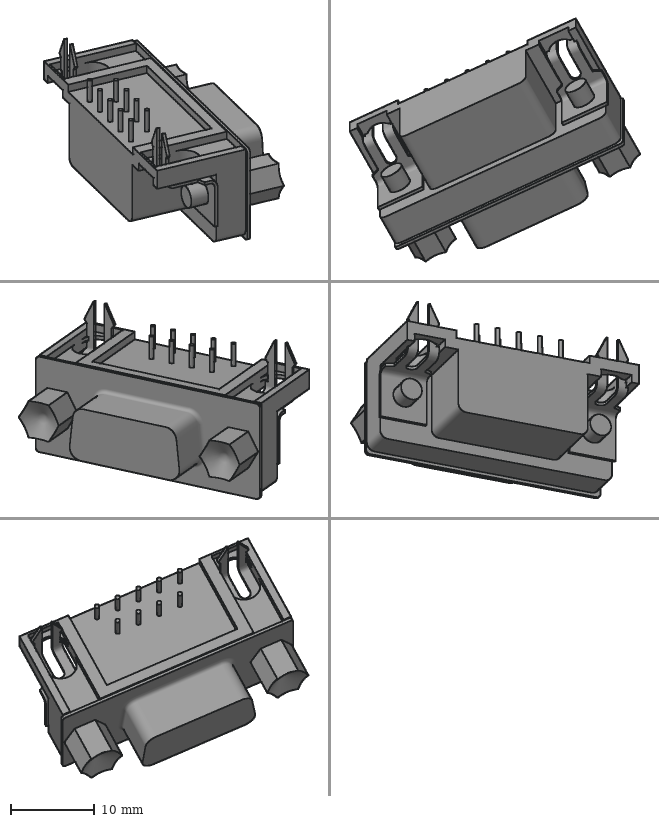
import cadquery as cq
import math


total_height = 16.11

flange_width = 30.8
flange_height = 12.44
flange_thickness = 0.4
flange_corner_radius = 0.5
axis_z = -flange_height / 2

nose_length = 5.75
nose_height = 6.8
nose_bottom_width = 15.4
nose_draft = 6
nose_corner_radius = 1.5
nose_root_radius = 0.5

screw_spacing = 24.85
screw_sides = (-1, 1)
screw_diameter = 2.75
screw_reach = 7.1
hex_across_flats = 4.76
hex_across_corners = hex_across_flats / math.cos(math.pi / 6)
hex_length = 4.65
countersink_half_angle = 60

housing_width = 30.5
housing_center_x = -0.1
flange_gap = 0.1
housing_front_y = -flange_thickness - flange_gap
housing_rear_y = -12.35
front_block_rear_y = -4.4
front_block_height = 12.05
rear_block_width = 17.0
rear_block_height = 10.65
roof_thickness = 2.5
block_corner_radius = 1.0

recess_width = 17.45
recess_depth = 1.0
recess_front_y = -1.8

pocket_width = 4.0
pocket_spacing = 24.5
pocket_depth = 1.0
pocket_rear_y = -12.05
pocket_hole_front_y = -5.3
pocket_hole_rear_y = -11.3
rear_notch_top_z = -1.5

pin_diameter = 0.55
pin_top_z = 1.9
pin_pitch = 2.77
pin_rows = ((5, -11.05), (4, -8.2))

sheet = 0.4
bracket_width = 6.05
bracket_bottom_z = -9.4
bracket_shelf_z = -2.95
bracket_rear_y = -10.72
bend_outer_radius = 1.0
bend_inner_radius = bend_outer_radius - sheet
wide_part_side_end_y = -6.13
wide_part_rear_y = -6.56
tongue_width = 4.06
slot_width = 1.4
slot_front_y = -6.5
prong_step_z = -1.8
prong_half_width = 1.7
barb_base_z = 0.7
barb_z = 1.2
barb_half_width = 2.05
prong_tip_z = total_height - flange_height
prong_tip_land = 0.12
prong_tip_half_width = slot_width / 2 + prong_tip_land


def centered_box(center_x, width, y_min, y_max, z_min, z_max):
    """Box between the given Y and Z limits, centred in X."""
    block = cq.Workplane("XY").box(width, y_max - y_min, z_max - z_min, centered=(True, False, False))
    return block.translate((center_x, y_min, z_min))


def cylinder_y(center_x, diameter, y_min, y_max):
    """Cylinder along Y at the height of the screw axes."""
    rod = cq.Workplane("XZ").circle(diameter / 2).extrude(y_max - y_min)
    return rod.translate((center_x, y_max, axis_z))


def screw_shank(side):
    return cylinder_y(side * screw_spacing / 2, screw_diameter, -screw_reach, 0)


def make_shell():
    flange = centered_box(0, flange_width, -flange_thickness, 0, -flange_height, 0)
    flange = flange.edges("|Y").fillet(flange_corner_radius)

    bottom_half = nose_bottom_width / 2
    top_half = bottom_half - nose_height * math.tan(math.radians(nose_draft))
    bottom_z = axis_z - nose_height / 2
    top_z = axis_z + nose_height / 2
    nose = (
        cq.Workplane("XZ")
        .polyline([
            (-bottom_half, bottom_z), (bottom_half, bottom_z),
            (top_half, top_z), (-top_half, top_z),
        ])
        .close()
        .extrude(-nose_length)
        .edges("|Y")
        .fillet(nose_corner_radius)
    )
    shell = flange.union(nose)
    root = cq.selectors.BoxSelector(
        (-bottom_half, -flange_thickness / 2, bottom_z - flange_thickness),
        (bottom_half, flange_thickness / 2, top_z + flange_thickness),
    )
    shell = shell.edges(root).fillet(nose_root_radius)
    for side in screw_sides:
        shell = shell.cut(screw_shank(side))
    return shell


def make_screw(side):
    """Hexagonal head with a conical hollow in its end, on a plain shank that passes through the flange."""
    center_x = side * screw_spacing / 2
    head = cq.Workplane("XZ").polygon(6, hex_across_corners).extrude(-hex_length)
    hollow_radius = hex_across_corners / 2
    hollow_depth = hollow_radius / math.tan(math.radians(countersink_half_angle))
    hollow = cq.Workplane(
        cq.Solid.makeCone(
            0, hollow_radius, hollow_depth,
            pnt=cq.Vector(0, hex_length - hollow_depth, 0), dir=cq.Vector(0, 1, 0),
        )
    )
    head = head.cut(hollow).translate((center_x, 0, axis_z))
    return head.union(screw_shank(side))


def make_bracket(side):
    """Sheet strip bent twice: a plate on the housing, a shelf, and a forked tongue rising as two prongs."""
    profile = (
        cq.Workplane("YZ")
        .moveTo(front_block_rear_y, bracket_bottom_z)
        .lineTo(front_block_rear_y, bracket_shelf_z - bend_outer_radius)
        .radiusArc((front_block_rear_y - bend_outer_radius, bracket_shelf_z), -bend_outer_radius)
        .lineTo(bracket_rear_y + bend_outer_radius, bracket_shelf_z)
        .radiusArc((bracket_rear_y + sheet, bracket_shelf_z + bend_inner_radius), bend_inner_radius)
        .lineTo(bracket_rear_y + sheet, prong_tip_z)
        .lineTo(bracket_rear_y, prong_tip_z)
        .lineTo(bracket_rear_y, bracket_shelf_z + bend_inner_radius)
        .radiusArc((bracket_rear_y + bend_outer_radius, bracket_shelf_z - sheet), -bend_outer_radius)
        .lineTo(front_block_rear_y - bend_outer_radius, bracket_shelf_z - sheet)
        .radiusArc((front_block_rear_y - sheet, bracket_shelf_z - bend_outer_radius), bend_inner_radius)
        .lineTo(front_block_rear_y - sheet, bracket_bottom_z)
        .close()
    )
    strip = profile.extrude(bracket_width / 2, both=True)

    half_width = bracket_width / 2
    half_tongue = tongue_width / 2
    outline = (
        cq.Workplane("XY", origin=(0, 0, bracket_bottom_z))
        .polyline([
            (half_width, front_block_rear_y), (half_width, wide_part_side_end_y),
            (half_tongue, wide_part_rear_y), (half_tongue, bracket_rear_y),
            (-half_tongue, bracket_rear_y), (-half_tongue, wide_part_rear_y),
            (-half_width, wide_part_side_end_y), (-half_width, front_block_rear_y),
        ])
        .close()
        .extrude(prong_step_z - bracket_bottom_z)
    )
    right_edge = [
        (prong_half_width, prong_step_z), (prong_half_width, barb_base_z),
        (barb_half_width, barb_z), (prong_tip_half_width, prong_tip_z),
    ]
    left_edge = [(-x, z) for x, z in reversed(right_edge)]
    prongs = cq.Workplane("XZ").polyline(right_edge + left_edge).close()
    prongs = prongs.extrude(sheet).translate((0, bracket_rear_y + sheet, 0))
    bracket = strip.intersect(outline.union(prongs))

    slot_radius = slot_width / 2
    slot_end_y = slot_front_y - slot_radius
    slot = centered_box(0, slot_width, bracket_rear_y, slot_end_y, bracket_shelf_z - sheet, prong_tip_z)
    slot_end = cq.Workplane("XY").circle(slot_radius).extrude(sheet)
    slot_end = slot_end.translate((0, slot_end_y, bracket_shelf_z - sheet))
    bracket = bracket.cut(slot).cut(slot_end)
    return bracket.translate((side * screw_spacing / 2, 0, 0)).cut(screw_shank(side))


def make_housing(brackets):
    front_block = centered_box(
        housing_center_x, housing_width, front_block_rear_y, housing_front_y, -front_block_height, 0
    ).edges("|Y and <Z").fillet(block_corner_radius)
    rear_block = centered_box(
        housing_center_x, rear_block_width, housing_rear_y, front_block_rear_y, -rear_block_height, 0
    ).edges("|Y and <Z").fillet(block_corner_radius)
    roof = centered_box(
        housing_center_x, housing_width, housing_rear_y, front_block_rear_y, -roof_thickness, 0
    )
    housing = front_block.union(rear_block).union(roof)
    housing = housing.cut(
        centered_box(housing_center_x, recess_width, housing_rear_y, recess_front_y, -recess_depth, 0)
    )

    hole_length = pocket_hole_front_y - pocket_hole_rear_y
    hole_center_y = (pocket_hole_front_y + pocket_hole_rear_y) / 2
    for side in screw_sides:
        pocket_x = housing_center_x + side * pocket_spacing / 2
        pocket = centered_box(
            pocket_x, pocket_width, pocket_rear_y, housing_front_y, -pocket_depth, 0
        )
        hole = cq.Workplane("XY").slot2D(hole_length, pocket_width, 90).extrude(-roof_thickness)
        hole = hole.translate((pocket_x, hole_center_y, 0))
        notch = centered_box(
            pocket_x, pocket_width, housing_rear_y, hole_center_y, -roof_thickness, rear_notch_top_z
        )
        housing = housing.cut(pocket).cut(hole).cut(notch).cut(screw_shank(side))

    for bracket in brackets:
        housing = housing.cut(bracket)

    for count, row_y in pin_rows:
        for index in range(count):
            pin_x = housing_center_x + (index - (count - 1) / 2) * pin_pitch
            pin = cq.Workplane("XY").circle(pin_diameter / 2).extrude(pin_top_z + recess_depth)
            housing = housing.union(pin.translate((pin_x, row_y, -recess_depth)))
    return housing


shell = make_shell()
screws = [make_screw(side) for side in screw_sides]
brackets = [make_bracket(side) for side in screw_sides]
housing = make_housing(brackets)

bodies = [housing, shell, *screws, *brackets]
result = cq.Compound.makeCompound([body.solids().val() for body in bodies])